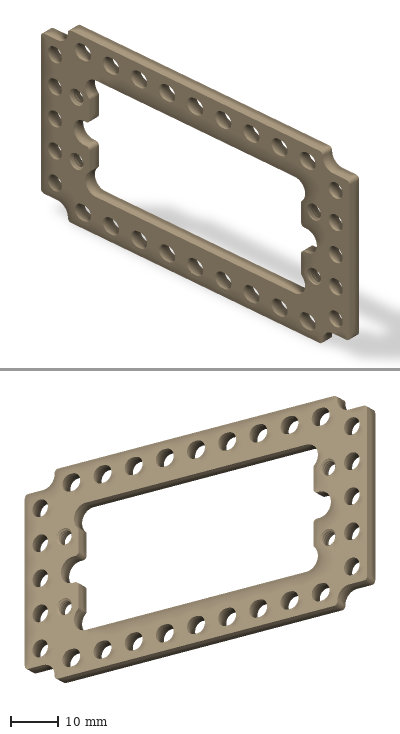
import cadquery as cq

length = 88.0
height = 48.0
thickness = 3.0
hole_pitch = 8.0
tool_radius = 3.0
corner_round = 0.9

notch_length = 7.7
notch_height = hole_pitch / 2

hole_diameter = 4.0
slot_length = 4.6
holes_per_side = 5
slots_per_side = 9
hole_x = (slots_per_side + 1) / 2 * hole_pitch
slot_z = holes_per_side / 2 * hole_pitch

window_height = 29.0
lip_span = 60.4
relief_x = 28.3
relief_z = window_height / 2 - tool_radius
side_notch_span = 69.3

thread_x = 33.9
thread_z = hole_pitch
thread_diameter = 3.9
thread_mouth_diameter = 4.0
thread_bore = 3.2
thread_pitch = 0.7
groove_flat = 0.1
groove_mouth = 0.6
groove_overlap = 0.1


def prism(outline, depth=2 * thickness):
    """Extrude an outline in the XZ plane equally to both sides of it."""
    return outline.extrude(depth / 2, both=True)


def make_plate():
    """Flat plate centred on the origin, with a rounded notch at each corner."""
    tall_part = prism(cq.Workplane("XZ").rect(length - 2 * notch_length, height), thickness)
    long_part = prism(cq.Workplane("XZ").rect(length, height - 2 * notch_height), thickness)
    plate = tall_part.union(long_part)
    outermost = "(<X or >X or <Z or >Z)"
    plate = plate.edges("|Y").edges("not " + outermost).fillet(tool_radius)
    return plate.edges("|Y").edges(outermost).fillet(corner_round)


def make_window():
    """Window cutter with round corner reliefs and a round-ended notch through the lips."""
    relief_centers = cq.Workplane("XZ").rect(2 * relief_x, 2 * relief_z, forConstruction=True)
    window = (
        prism(cq.Workplane("XZ").rect(2 * relief_x, window_height))
        .union(prism(cq.Workplane("XZ").rect(lip_span, 2 * relief_z)))
        .union(prism(relief_centers.vertices().circle(tool_radius)))
        .union(prism(cq.Workplane("XZ").slot2D(side_notch_span, 2 * tool_radius)))
    )
    margin = 0.1
    for side in (-1, 1):
        lip_x = side * lip_span / 2
        lip_corners = cq.selectors.BoxSelector(
            (lip_x - margin, -thickness, -height / 2),
            (lip_x + margin, thickness, height / 2),
        )
        window = window.edges("|Y").edges(lip_corners).fillet(corner_round)
    return window


def make_side_holes():
    """Cutter for the column of round holes along each short side."""
    centers = cq.Workplane("XZ").rarray(2 * hole_x, hole_pitch, 2, holes_per_side)
    return prism(centers.circle(hole_diameter / 2))


def make_slots():
    """Cutter for the row of short slots along each long side."""
    centers = cq.Workplane("XZ").rarray(hole_pitch, 2 * slot_z, slots_per_side, 2)
    return prism(centers.slot2D(slot_length, hole_diameter))


def make_thread_bores():
    """Cutter for the plain bores of the four threaded holes."""
    centers = cq.Workplane("XZ").rarray(2 * thread_x, 2 * thread_z, 2, 2)
    return prism(centers.circle(thread_bore / 2))


def make_thread_mouths():
    """45-degree countersinks that open each threaded hole out at both faces."""
    depth = (thread_mouth_diameter - thread_bore) / 2
    face = cq.Workplane("XZ", origin=(0, -thickness / 2, 0))
    centers = face.rarray(2 * thread_x, 2 * thread_z, 2, 2)
    front = centers.circle(thread_mouth_diameter / 2).extrude(-depth, taper=45)
    return front.union(front.mirror("XZ"))


def make_thread_groove():
    """Helical groove cutter around the Y axis, one turn longer than the plate at each face."""
    bore_radius = thread_bore / 2
    inner_radius = bore_radius - groove_overlap
    outer_radius = thread_diameter / 2
    run = thickness + 2 * thread_pitch
    path = cq.Wire.makeHelix(thread_pitch, run, bore_radius)
    groove = (
        cq.Workplane("XZ")
        .moveTo(inner_radius, -groove_mouth / 2)
        .lineTo(outer_radius, -groove_flat / 2)
        .lineTo(outer_radius, groove_flat / 2)
        .lineTo(inner_radius, groove_mouth / 2)
        .close()
        .sweep(cq.Workplane(path), isFrenet=True)
    )
    return groove.translate((0, 0, -run / 2)).rotate((0, 0, 0), (1, 0, 0), 90)


plate = make_plate().cut(make_window()).cut(make_side_holes()).cut(make_slots())
plate = plate.cut(make_thread_bores())
thread_groove = make_thread_groove()
for x in (-thread_x, thread_x):
    for z in (-thread_z, thread_z):
        plate = plate.cut(thread_groove.translate((x, 0, z)))
plate = plate.cut(make_thread_mouths())

result = plate